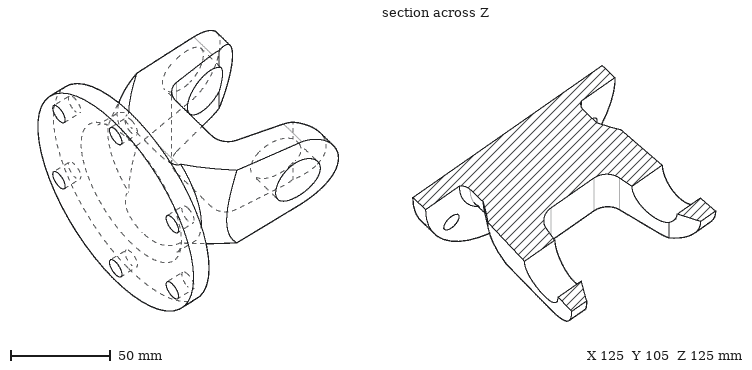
import cadquery as cq
import math

flange_radius = 62.5
flange_thickness = 10.0
bolt_count = 6
bolt_circle_radius = 52.5
bolt_hole_diameter = 10.0

neck_radius = 37.5
neck_root_height = 5.0
neck_root_spread = 2.8
neck_end_y = 25.0
flare_angle = math.radians(30)

length = 105.0
arm_tip_radius = 25.0
eye_y = length - arm_tip_radius
eye_diameter = 27.5
arm_tip_end_y = 84.8
root_y = 23.8
root_half_height = 31.2
relief_y = 26.6
relief_z = 40.8

crown_radius = 100.0
tip_half_width = 47.5
arm_lean = math.radians(3)

opening_floor_y = 50.0
floor_half_width = 22.5
floor_corner_radius = 10.0
knee_half_width = 29.5
knee_y = 90.0
mouth_half_width = 37.5

clearance = 12.5
trim_width = 2 * (flange_radius + clearance)


def make_flange():
    flange = cq.Workplane("XZ").circle(flange_radius).extrude(-flange_thickness)
    bolt_holes = (
        cq.Workplane("XZ")
        .polarArray(bolt_circle_radius, 90, 360, bolt_count)
        .circle(bolt_hole_diameter / 2)
        .extrude(-flange_thickness)
    )
    return flange.cut(bolt_holes)


def make_round_body():
    """Neck with a concave root, the flare, and enough stock for both arms."""
    root_top_y = flange_thickness + neck_root_height
    arc_radius = (neck_root_height**2 + neck_root_spread**2) / (2 * neck_root_spread)
    arc_half_angle = math.asin(neck_root_height / arc_radius) / 2
    root_mid = (
        neck_radius + arc_radius * (1 - math.cos(arc_half_angle)),
        root_top_y - arc_radius * math.sin(arc_half_angle),
    )
    stock_radius = flange_radius
    flare_end_y = neck_end_y + (stock_radius - neck_radius) / math.tan(flare_angle)
    return (
        cq.Workplane("XY")
        .moveTo(0, flange_thickness)
        .lineTo(neck_radius + neck_root_spread, flange_thickness)
        .threePointArc(root_mid, (neck_radius, root_top_y))
        .lineTo(neck_radius, neck_end_y)
        .lineTo(stock_radius, flare_end_y)
        .lineTo(stock_radius, length)
        .lineTo(0, length)
        .close()
        .revolve(360, (0, 0, 0), (0, 1, 0))
    )


def make_side_envelope():
    """Tapered arm outline with a round tip and concave reliefs above the neck."""
    tip_end_z = math.sqrt(arm_tip_radius**2 - (arm_tip_end_y - eye_y) ** 2)

    relief_radius = math.hypot(relief_y - root_y, relief_z - root_half_height)
    start_angle = math.atan2(relief_z - root_half_height, relief_y - root_y)
    relief_end_y = relief_y - relief_radius
    relief_mid_y = relief_y - relief_radius * math.cos(start_angle / 2)
    relief_mid_z = relief_z - relief_radius * math.sin(start_angle / 2)
    outer_z = flange_radius
    return (
        cq.Workplane("YZ")
        .moveTo(0, -outer_z)
        .lineTo(relief_end_y, -outer_z)
        .lineTo(relief_end_y, -relief_z)
        .threePointArc((relief_mid_y, -relief_mid_z), (root_y, -root_half_height))
        .lineTo(arm_tip_end_y, -tip_end_z)
        .threePointArc((length, 0), (arm_tip_end_y, tip_end_z))
        .lineTo(root_y, root_half_height)
        .threePointArc((relief_mid_y, relief_mid_z), (relief_end_y, relief_z))
        .lineTo(relief_end_y, outer_z)
        .lineTo(0, outer_z)
        .close()
        .extrude(trim_width / 2, both=True)
    )


def make_crown(side):
    """Leaning cylinder whose surface forms the outer face of one arm."""
    lean_direction = cq.Vector(side * math.sin(arm_lean), math.cos(arm_lean), 0)
    tip_axis = cq.Vector(side * (tip_half_width - crown_radius / math.cos(arm_lean)), length, 0)
    half_length = length + clearance
    start = tip_axis - lean_direction * half_length
    return cq.Workplane(cq.Solid.makeCylinder(crown_radius, 2 * half_length, start, lean_direction))


def make_opening():
    opening = (
        cq.Workplane("XY")
        .polyline([
            (-floor_half_width, opening_floor_y),
            (floor_half_width, opening_floor_y),
            (knee_half_width, knee_y),
            (mouth_half_width, length),
            (-mouth_half_width, length),
            (-knee_half_width, knee_y),
        ])
        .close()
        .extrude(flange_radius, both=True)
    )
    return opening.edges("|Z and <Y").fillet(floor_corner_radius)


def make_yoke():
    yoke = make_round_body().intersect(make_side_envelope())
    for side in (-1, 1):
        yoke = yoke.intersect(make_crown(side))
    eyes = (
        cq.Workplane("YZ")
        .center(eye_y, 0)
        .circle(eye_diameter / 2)
        .extrude(trim_width / 2, both=True)
    )
    return yoke.cut(make_opening()).cut(eyes)


result = make_flange().union(make_yoke())